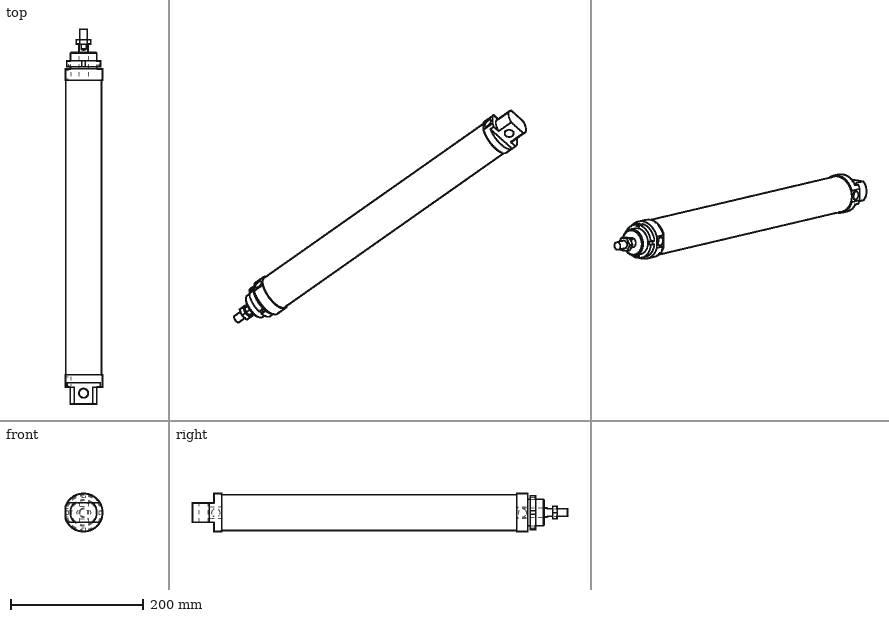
import cadquery as cq
import math

LENGTH = 567.0

HEAD_DIA = 58.0
TUBE_DIA = 54.5
NECK_DIA = 40.0
NECK_CHAMFER = 1.5
REAR_HEAD_START = 25.5
REAR_STEP = 32.5
TUBE_START = 44.0
TUBE_END = 490.0
FRONT_HEAD_END = 507.0
NECK_END = 532.0

TONGUE_DIA = NECK_DIA
TONGUE_THICKNESS = 29.5
PIN_HOLE_DIA = 13.5
PIN_HOLE_Y = 16.5

PORT_FLAT_WIDTH = 17.5
PORT_FLAT_X = -math.sqrt(HEAD_DIA**2 - PORT_FLAT_WIDTH**2) / 2
PORT_DIA = 12.5
PORT_DEPTH = 8.5
PORTED_HEADS = [(REAR_HEAD_START, TUBE_START), (TUBE_END, FRONT_HEAD_END)]

RING_DIA = 51.5
RING_FRONT = 519.0
RING_WIDTH = 8.5
SLOT_COUNT = 4
SLOT_WIDTH = 5.0
SLOT_DEPTH = 3.0

ROD_DIA = 14.0
STUD_DIA = 12.0
STUD_START = 544.5
FLAT_THICKNESS = 12.0
FLAT_END = 537.0
RAMP_LENGTH = 1.5

NUT_ACROSS_FLATS = 19.0
NUT_WIDTH = 7.0


def cylinder(diameter, start, end):
    """Solid round bar on the Y axis between two y positions."""
    plane = cq.Workplane("XZ", origin=(0, start, 0))
    return plane.circle(diameter / 2).extrude(start - end)


def make_housing():
    """Tube with both heads and the neck, bored for the rod as far as the front head reaches."""
    neck = cylinder(NECK_DIA, FRONT_HEAD_END, NECK_END).faces(">Y").chamfer(NECK_CHAMFER)
    body = cylinder(TUBE_DIA, TUBE_START, TUBE_END)
    body = body.union(make_rear_head())
    body = body.union(cylinder(HEAD_DIA, TUBE_END, FRONT_HEAD_END))
    body = body.union(neck)
    for start, end in PORTED_HEADS:
        body = cut_port(body, start, end)
    return body.cut(cylinder(ROD_DIA, TUBE_END, NECK_END))


def make_rear_head():
    """Rear head with the round-sided clevis tongue and its cross hole."""
    tongue_slab = cq.Workplane("XY").box(HEAD_DIA, 2 * REAR_STEP, TONGUE_THICKNESS)
    stepped = cylinder(HEAD_DIA, REAR_HEAD_START, REAR_STEP)
    stepped = stepped.union(cylinder(TONGUE_DIA, 0, REAR_STEP)).intersect(tongue_slab)
    pin_hole = (
        cq.Workplane("XY")
        .center(0, PIN_HOLE_Y)
        .circle(PIN_HOLE_DIA / 2)
        .extrude(HEAD_DIA, both=True)
    )
    return cylinder(HEAD_DIA, REAR_STEP, TUBE_START).union(stepped).cut(pin_hole)


def cut_port(body, start, end):
    """Cut a flat over the full width of a head, then a blind port in the middle of it."""
    y = (start + end) / 2
    flat = cq.Workplane("XY").box(HEAD_DIA, end - start, HEAD_DIA)
    flat = flat.translate((PORT_FLAT_X - HEAD_DIA / 2, y, 0))
    port = cq.Workplane("YZ", origin=(PORT_FLAT_X, y, 0)).circle(PORT_DIA / 2).extrude(PORT_DEPTH)
    return body.cut(flat).cut(port)


def make_ring_nut():
    """Round nut on the neck with spanner slots along its rim."""
    ring_back = RING_FRONT - RING_WIDTH
    ring = cylinder(RING_DIA, ring_back, RING_FRONT).cut(cylinder(NECK_DIA, ring_back, RING_FRONT))
    slot = cq.Workplane("XY").box(SLOT_WIDTH, RING_WIDTH, 2 * SLOT_DEPTH)
    slot = slot.translate((0, RING_FRONT - RING_WIDTH / 2, RING_DIA / 2))
    for i in range(SLOT_COUNT):
        ring = ring.cut(slot.rotate((0, 0, 0), (0, 1, 0), i * 360 / SLOT_COUNT))
    return ring


def make_rod():
    """Rod stepped down to a stud, with two wrench flats behind the step."""
    rod = cylinder(ROD_DIA, TUBE_END, STUD_START).union(cylinder(STUD_DIA, STUD_START, LENGTH))
    flat = (
        cq.Workplane("YZ")
        .moveTo(STUD_START, FLAT_THICKNESS / 2)
        .lineTo(FLAT_END, FLAT_THICKNESS / 2)
        .lineTo(FLAT_END - RAMP_LENGTH, ROD_DIA / 2)
        .lineTo(STUD_START, ROD_DIA / 2)
        .close()
        .extrude(ROD_DIA, both=True)
    )
    return rod.cut(flat).cut(flat.mirror("XY"))


def make_hex_nut():
    """Hexagon nut against the rod shoulder, corners pointing along X."""
    across_corners = NUT_ACROSS_FLATS / math.cos(math.pi / 6)
    nut = cq.Workplane("XZ", origin=(0, STUD_START, 0)).polygon(6, across_corners).extrude(-NUT_WIDTH)
    return nut.cut(cylinder(STUD_DIA, STUD_START, STUD_START + NUT_WIDTH))


housing = make_housing()
ring_nut = make_ring_nut()
rod = make_rod()
hex_nut = make_hex_nut()

result = cq.Compound.makeCompound([housing.val(), ring_nut.val(), rod.val(), hex_nut.val()])